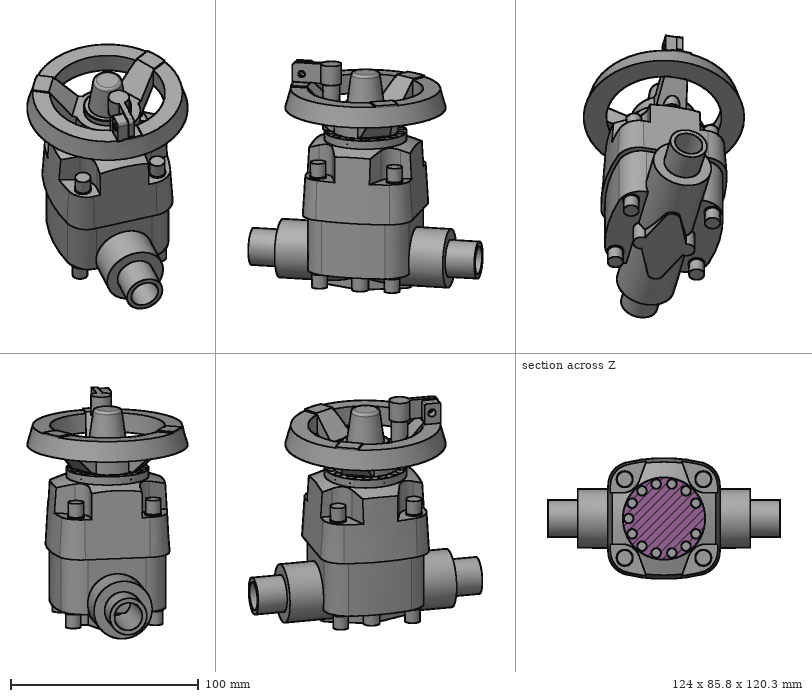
import cadquery as cq
import math

length = 124.0
pipe_z = 17.0
spigot_dia = 20.0
socket_dia = 31.5
socket_length = 92.3
bore_dia = 15.0

body_bottom = 11.0
body_top = 41.5
body_half_x = 27.5
body_half_y = 30.4
body_corner_y = socket_dia / 2
body_corner_radius = 13.0

bonnet_half_x = 29.9
bonnet_half_y = 32.4
bonnet_corner_y = 17.6
bonnet_corner_radius = 12.6
bonnet_draft = 3.5
pad_z = 63.1
bonnet_rim_z = 77.4
collar_bottom = 80.1
collar_top = 84.6
collar_dia = 44.0

screw_offset = 21.0
pocket_x = 22.5
pocket_y = 23.4
pocket_radius = 9.8
pocket_reach = 37.2
pocket_wall_angle = 20.0

screw_dia = 8.2
screw_neck_dia = 8.8
screw_neck_height = 0.6
screw_height = 8.2
stud_x = 19.8
stud_y = 22.2

foot_dia = 8.8
foot_end_x = 20.6
foot_side_y = 12.3
foot_flank_end_x = 21.8
foot_flank_end_y = 4.2
foot_flank_side_y = 11.2

lock_hole_count = 14
lock_hole_dia = 5.0
lock_hole_depth = 2.5
lock_circle_radius = 18.8

hub_dia = 35.0
hub_top = 95.7
rim_bottom = 97.3
rim_top = 107.9
rim_bottom_dia = 85.8
rim_top_dia = 79.9
rim_inner_dia = 61.4
spoke_count = 3
spoke_bottom = 85.3
spoke_inner_radius = 17.6
spoke_inner_half_width = 8.3
spoke_outer_half_width = 6.2
spoke_pad_rise = 0.7
spoke_top = rim_top + spoke_pad_rise

flange_dia = 25.3
flange_top = 99.1
flange_chamfer = 0.4
knob_bottom_dia = 20.0
knob_top_dia = 15.0
knob_top = 116.9
knob_fillet = 1.7

lock_top = 120.3
lock_head_bottom = 109.6
lock_head_dia = 11.0
lock_post_dia = 8.9
arm_half_width = 1.6
arm_fillet = 2.4
arm_hole_dia = 3.6
lug_start_x = 30.8
lug_end_x = 39.7
lug_front_y = -7.6
lug_top = 119.4
lug_fillet = 1.0
lug_hole_x = 34.7
lug_hole_z = 114.1
lug_hole_dia = 4.1


def cylinder(dia, bottom, top, x=0.0, y=0.0):
    """Upright cylinder between two heights."""
    return cq.Workplane("XY", origin=(x, y, bottom)).circle(dia / 2).extrude(top - bottom)


def x_cylinder(dia, full_length):
    """Cylinder on the pipe axis, centred on X = 0."""
    plane = cq.Workplane("YZ", origin=(-full_length / 2, 0, pipe_z))
    return plane.circle(dia / 2).extrude(full_length)


def housing(half_x, half_y, corner_y, radius, bottom, top, draft=0.0):
    """Block with flat X sides, bulging Y sides and tangent round corners."""
    corner_x = half_x - radius
    rise = half_y - corner_y
    bulge_radius = (corner_x**2 + rise**2 - radius**2) / (2 * (rise - radius))
    bulge_centre_y = half_y - bulge_radius
    end_angle = math.atan2(corner_y - bulge_centre_y, corner_x)
    end_x = corner_x + radius * math.cos(end_angle)
    end_y = corner_y + radius * math.sin(end_angle)
    mid_x = corner_x + radius * math.cos(end_angle / 2)
    mid_y = corner_y + radius * math.sin(end_angle / 2)
    outline = (
        cq.Workplane("XY", origin=(0, 0, bottom))
        .moveTo(half_x, -corner_y)
        .lineTo(half_x, corner_y)
        .threePointArc((mid_x, mid_y), (end_x, end_y))
        .threePointArc((0, half_y), (-end_x, end_y))
        .threePointArc((-mid_x, mid_y), (-half_x, corner_y))
        .lineTo(-half_x, -corner_y)
        .threePointArc((-mid_x, -mid_y), (-end_x, -end_y))
        .threePointArc((0, -half_y), (end_x, -end_y))
        .threePointArc((mid_x, -mid_y), (half_x, -corner_y))
        .close()
    )
    return outline.extrude(top - bottom, taper=draft)


def four_corners(shape):
    """The shape in the +X +Y corner, mirrored into all four corners."""
    pair = shape.union(shape.mirror("YZ"))
    return pair.union(pair.mirror("XZ"))


def pipe():
    """Bored pipe: two thin spigots on a thicker socket tube."""
    tube = x_cylinder(spigot_dia, length).union(x_cylinder(socket_dia, socket_length))
    return tube.cut(x_cylinder(bore_dia, length))


def foot():
    """Tapering plate with a round post at each of its four tips."""
    outline = [
        (foot_flank_end_x, foot_flank_end_y),
        (foot_dia / 2, foot_flank_side_y),
        (-foot_dia / 2, foot_flank_side_y),
        (-foot_flank_end_x, foot_flank_end_y),
        (-foot_flank_end_x, -foot_flank_end_y),
        (-foot_dia / 2, -foot_flank_side_y),
        (foot_dia / 2, -foot_flank_side_y),
        (foot_flank_end_x, -foot_flank_end_y),
    ]
    plate = cq.Workplane("XY").polyline(outline).close().extrude(body_bottom)
    for x, y in [(foot_end_x, 0), (-foot_end_x, 0), (0, foot_side_y), (0, -foot_side_y)]:
        plate = plate.union(cylinder(foot_dia, 0, body_bottom, x, y))
    return plate


def bonnet():
    """Drafted cap with a sloping roof, four screw pockets and a collar with lock holes."""
    block = housing(
        bonnet_half_x, bonnet_half_y, bonnet_corner_y, bonnet_corner_radius,
        body_top, collar_bottom, bonnet_draft,
    )
    rim_radius = bonnet_half_y - (bonnet_rim_z - body_top) * math.tan(math.radians(bonnet_draft))
    slope = (collar_bottom - bonnet_rim_z) / (rim_radius - collar_dia / 2)
    reach = 2 * bonnet_half_x
    roof = (
        cq.Workplane("XZ")
        .moveTo(0, body_top)
        .lineTo(reach, body_top)
        .lineTo(reach, collar_bottom - (reach - collar_dia / 2) * slope)
        .lineTo(collar_dia / 2, collar_bottom)
        .lineTo(0, collar_bottom)
        .close()
        .revolve(360, (0, 0), (0, 1))
    )
    wall = math.radians(pocket_wall_angle)
    inner_y = pocket_y - pocket_radius
    start_angle = math.pi + wall
    middle_angle = (start_angle + 1.5 * math.pi) / 2
    start_x = pocket_x + pocket_radius * math.cos(start_angle)
    start_y = pocket_y + pocket_radius * math.sin(start_angle)
    middle_x = pocket_x + pocket_radius * math.cos(middle_angle)
    middle_y = pocket_y + pocket_radius * math.sin(middle_angle)
    pocket = (
        cq.Workplane("XY", origin=(0, 0, pad_z))
        .moveTo(pocket_reach, inner_y)
        .lineTo(pocket_x, inner_y)
        .threePointArc((middle_x, middle_y), (start_x, start_y))
        .lineTo(start_x - (pocket_reach - start_y) * math.tan(wall), pocket_reach)
        .lineTo(pocket_reach, pocket_reach)
        .close()
        .extrude(collar_bottom - pad_z)
    )
    collar = cylinder(collar_dia, collar_bottom, collar_top)
    holes = (
        cq.Workplane("XY", origin=(0, 0, collar_top))
        .polarArray(lock_circle_radius, 0, 360, lock_hole_count)
        .circle(lock_hole_dia / 2)
        .extrude(-lock_hole_depth)
    )
    return block.intersect(roof).cut(four_corners(pocket)).union(collar.cut(holes))


def screws():
    """Screw heads in the pockets and stud ends below the body."""
    head = cylinder(screw_dia, pad_z, pad_z + screw_height, screw_offset, screw_offset)
    head = head.union(
        cylinder(screw_neck_dia, pad_z, pad_z + screw_neck_height, screw_offset, screw_offset)
    )
    end = cylinder(screw_dia, body_bottom - screw_height, body_bottom, stud_x, stud_y)
    end = end.union(cylinder(screw_neck_dia, body_bottom - screw_neck_height, body_bottom, stud_x, stud_y))
    return four_corners(head).union(four_corners(end))


def spoke():
    """Spoke along +X: rises at a slant from the hub to a raised pad on the rim."""
    rim_inner = rim_inner_dia / 2
    rim_outer = rim_top_dia / 2
    rise = spoke_top - hub_top
    side = (
        cq.Workplane("XZ", origin=(0, hub_dia, 0))
        .polyline([
            (0, spoke_bottom),
            (spoke_inner_radius, spoke_bottom),
            (rim_inner, spoke_bottom + rise),
            (rim_outer, spoke_bottom + rise),
            (rim_outer, spoke_top),
            (rim_inner, spoke_top),
            (spoke_inner_radius, hub_top),
            (0, hub_top),
        ])
        .close()
        .extrude(2 * hub_dia)
    )
    taper = (spoke_inner_half_width - spoke_outer_half_width) / (rim_inner - spoke_inner_radius)
    axis_half_width = spoke_inner_half_width + taper * spoke_inner_radius
    plan = (
        cq.Workplane("XY", origin=(0, 0, spoke_bottom))
        .polyline([
            (0, -axis_half_width),
            (rim_inner, -spoke_outer_half_width),
            (rim_outer, -spoke_outer_half_width),
            (rim_outer, spoke_outer_half_width),
            (rim_inner, spoke_outer_half_width),
            (0, axis_half_width),
        ])
        .close()
        .extrude(spoke_top - spoke_bottom)
    )
    return side.intersect(plan).intersect(cylinder(rim_top_dia, spoke_bottom, spoke_top))


def handwheel():
    """Conical rim and hub joined by evenly spaced spokes."""
    rim = (
        cq.Workplane("XZ")
        .polyline([
            (rim_inner_dia / 2, rim_bottom),
            (rim_bottom_dia / 2, rim_bottom),
            (rim_top_dia / 2, rim_top),
            (rim_inner_dia / 2, rim_top),
        ])
        .close()
        .revolve(360, (0, 0), (0, 1))
    )
    wheel = rim.union(cylinder(hub_dia, collar_top, hub_top))
    for i in range(spoke_count):
        wheel = wheel.union(spoke().rotate((0, 0, 0), (0, 0, 1), 360 / spoke_count * i))
    return wheel


def stem():
    """Flange on the hub carrying a tapered knob."""
    flange = cylinder(flange_dia, hub_top, flange_top).faces(">Z").chamfer(flange_chamfer)
    knob = (
        cq.Workplane("XZ")
        .polyline([
            (0, flange_top),
            (knob_bottom_dia / 2, flange_top),
            (knob_top_dia / 2, knob_top),
            (0, knob_top),
        ])
        .close()
        .revolve(360, (0, 0), (0, 1))
        .faces(">Z")
        .edges()
        .fillet(knob_fillet)
    )
    return flange.union(knob)


def lug_bore(dia, start_y, end_y):
    """Cutter along Y for the padlock hole."""
    plane = cq.Workplane("XZ", origin=(lug_hole_x, start_y, lug_hole_z))
    return plane.circle(dia / 2).extrude(start_y - end_y)


def lock():
    """Lock pin through the hub into a collar hole, with a flat arm and a padlock lug beside it."""
    post_x = lock_circle_radius
    tip = cylinder(lock_hole_dia, collar_top - lock_hole_depth, collar_top, post_x)
    post = cylinder(lock_post_dia, collar_top, lock_top, post_x)
    head = cylinder(lock_head_dia, lock_head_bottom, lock_top, post_x)
    arm_length = rim_top_dia / 2 - post_x
    arm_height = lock_top - lock_head_bottom
    arm = (
        cq.Workplane("XY", origin=(post_x, 0, lock_head_bottom))
        .box(arm_length, 2 * arm_half_width, arm_height, centered=(False, True, False))
        .edges("|Y and >Z and >X")
        .fillet(arm_fillet)
        .cut(lug_bore(arm_hole_dia, arm_half_width, -arm_half_width))
    )
    lug = (
        cq.Workplane("XY", origin=(lug_start_x, lug_front_y, rim_top))
        .box(lug_end_x - lug_start_x, -arm_half_width - lug_front_y, lug_top - rim_top, centered=False)
        .edges("|Y and >Z")
        .fillet(lug_fillet)
        .cut(lug_bore(lug_hole_dia, -arm_half_width, lug_front_y))
    )
    return tip.union(post).union(head).union(arm).union(lug)


body = housing(
    body_half_x, body_half_y, body_corner_y, body_corner_radius, body_bottom, body_top
)
result = (
    pipe().union(foot()).union(body).union(bonnet()).union(screws())
    .union(handwheel()).union(stem()).union(lock())
)